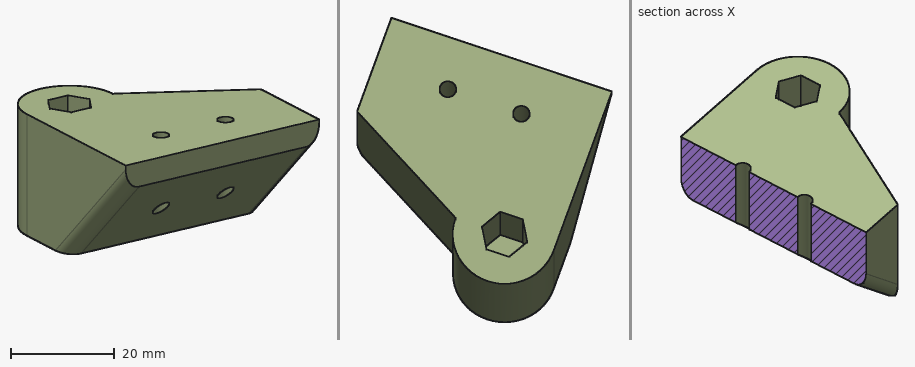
import cadquery as cq
import math

length_y = 45.0
height = 25.0

barrel_radius = 10.0
hex_across_flats = 8.0
hex_depth = 15.0

right_x = 34.0
front_y = -barrel_radius
back_y = front_y + length_y
back_left_x = 14.0

slope_start_x = 14.0
slope_edge_radius = 3.0

screw_diameter = 3.2
screw_count = 2
screw_pitch = 15.0
screw_x = 24.0
first_screw_y = 5.0


def make_body():
    """Barrel and plate in one outline; the plate's back left corner is cut off at an angle."""
    return (
        cq.Workplane("XY")
        .moveTo(0, front_y)
        .lineTo(right_x, front_y)
        .lineTo(right_x, back_y)
        .lineTo(back_left_x, back_y)
        .lineTo(0, barrel_radius)
        .threePointArc((-barrel_radius, 0), (0, front_y))
        .close()
        .extrude(height)
    )


def make_slope_envelope():
    """Prism above the 45 degree slope, its two sloping edges rounded.

    It reaches past the body everywhere except at the slope and the two side faces.
    """
    bottom_z = -height
    top_z = 2 * height
    left_x = -height
    return (
        cq.Workplane("XZ", origin=(0, back_y, 0))
        .moveTo(left_x, bottom_z)
        .lineTo(slope_start_x + bottom_z, bottom_z)
        .lineTo(slope_start_x + top_z, top_z)
        .lineTo(left_x, top_z)
        .close()
        .extrude(length_y)
        .edges("|(1, 0, 1)")
        .fillet(slope_edge_radius)
    )


def make_hex_pocket():
    """Blind hexagonal pocket in the top of the barrel, with two corners along Y."""
    across_corners = hex_across_flats / math.cos(math.pi / 6)
    return (
        cq.Workplane("XY", origin=(0, 0, height - hex_depth))
        .transformed(rotate=(0, 0, 90))
        .polygon(6, across_corners)
        .extrude(hex_depth)
    )


def make_screw_holes():
    """Vertical holes in a row along Y."""
    centres = [(screw_x, first_screw_y + i * screw_pitch) for i in range(screw_count)]
    return cq.Workplane("XY").pushPoints(centres).circle(screw_diameter / 2).extrude(height)


result = (
    make_body()
    .intersect(make_slope_envelope())
    .cut(make_hex_pocket())
    .cut(make_screw_holes())
)